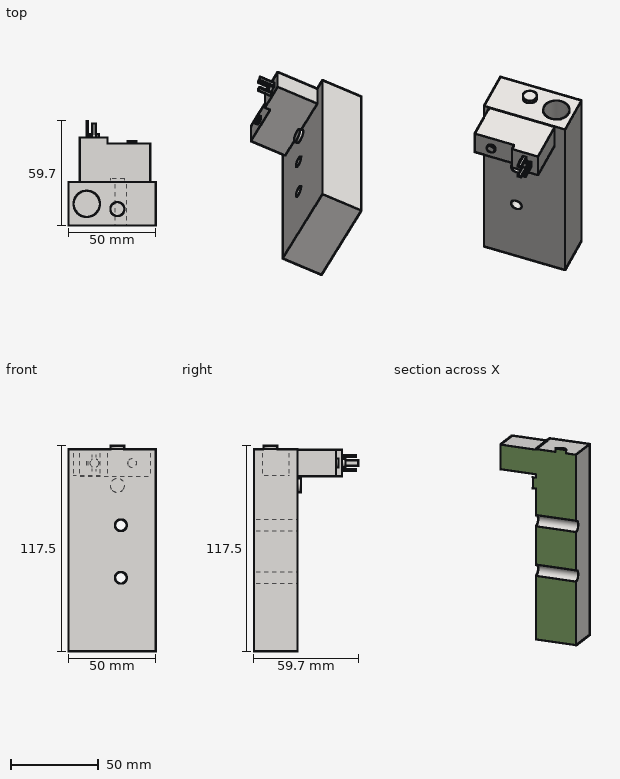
import cadquery as cq

BODY_WIDTH = 50.0
BODY_DEPTH = 25.0
BODY_HEIGHT = 115.5

MOUNT_DIAMETER = 6.5
MOUNT_X = 30.0
MOUNT_UPPER_Z = -43.5
MOUNT_SPACING = 30.0

PORT_DIAMETER = 15.0
PORT_DEPTH = 15.0
PORT_X = 10.5
PORT_Y = BODY_DEPTH / 2

BUTTON_DIAMETER = 8.0
BUTTON_HEIGHT = 2.0
BUTTON_X = 28.0
TOP_BUTTON_Y = 9.5
BACK_BUTTON_Z = -20.8

HEAD_LEFT = 6.4
HEAD_WIDTH = 40.4
HEAD_TALL_WIDTH = 16.1
HEAD_DEPTH = 25.4
HEAD_STEP_DEPTH = 22.0
HEAD_TOP_Z = -0.4
HEAD_HEIGHT = 15.2
HEAD_MID_Z = HEAD_TOP_Z - HEAD_HEIGHT / 2
HEAD_BACK_Y = BODY_DEPTH + HEAD_DEPTH
STEP_BACK_Y = BODY_DEPTH + HEAD_STEP_DEPTH

STUD_DIAMETER = 5.0
CONNECTOR_STUD_X = 14.9
CONNECTOR_STUD_LENGTH = 2.0
STEP_STUD_X = 36.4
STEP_STUD_LENGTH = 1.3

BLADE_THICKNESS = 1.0
EARTH_BLADE_X = 10.8
EARTH_BLADE_WIDTH = 3.3
EARTH_BLADE_LENGTH = 9.3
CONTACT_BLADE_X = 14.65
CONTACT_BLADE_WIDTH = 2.1
CONTACT_BLADE_LENGTH = 8.0
CONTACT_SPACING = 8.0


def rearward_cylinder(x, start_y, z, diameter, length):
    """Round bar along +Y, starting at start_y."""
    plane = cq.Workplane("XZ", origin=(x, start_y, z))
    return plane.circle(diameter / 2).extrude(-length)


def upright_cylinder(x, y, start_z, diameter, length):
    """Round bar along Z, starting at start_z; a negative length runs downward."""
    plane = cq.Workplane("XY", origin=(x, y, start_z))
    return plane.circle(diameter / 2).extrude(length)


def rear_blade(x, z, size_x, size_z, length):
    """Rectangular blade standing on the back of the head."""
    plane = cq.Workplane("XZ", origin=(x, HEAD_BACK_Y, z))
    return plane.rect(size_x, size_z).extrude(-length)


def make_body():
    body = cq.Workplane("XY").box(BODY_WIDTH, BODY_DEPTH, BODY_HEIGHT, centered=False)
    body = body.translate((0, 0, -BODY_HEIGHT))
    body = body.cut(upright_cylinder(PORT_X, PORT_Y, 0, PORT_DIAMETER, -PORT_DEPTH))
    for z in (MOUNT_UPPER_Z, MOUNT_UPPER_Z - MOUNT_SPACING):
        body = body.cut(rearward_cylinder(MOUNT_X, 0, z, MOUNT_DIAMETER, BODY_DEPTH))
    return body


def make_buttons():
    top = upright_cylinder(BUTTON_X, TOP_BUTTON_Y, 0, BUTTON_DIAMETER, BUTTON_HEIGHT)
    back = rearward_cylinder(BUTTON_X, BODY_DEPTH, BACK_BUTTON_Z, BUTTON_DIAMETER, BUTTON_HEIGHT)
    return [top, back]


def make_head():
    head_right = HEAD_LEFT + HEAD_WIDTH
    step_x = HEAD_LEFT + HEAD_TALL_WIDTH
    outline = [
        (HEAD_LEFT, BODY_DEPTH),
        (head_right, BODY_DEPTH),
        (head_right, STEP_BACK_Y),
        (step_x, STEP_BACK_Y),
        (step_x, HEAD_BACK_Y),
        (HEAD_LEFT, HEAD_BACK_Y),
    ]
    plane = cq.Workplane("XY", origin=(0, 0, HEAD_TOP_Z))
    return plane.polyline(outline).close().extrude(-HEAD_HEIGHT)


def make_studs():
    connector = rearward_cylinder(
        CONNECTOR_STUD_X, HEAD_BACK_Y, HEAD_MID_Z, STUD_DIAMETER, CONNECTOR_STUD_LENGTH
    )
    step = rearward_cylinder(STEP_STUD_X, STEP_BACK_Y, HEAD_MID_Z, STUD_DIAMETER, STEP_STUD_LENGTH)
    return [connector, step]


def make_blades():
    blades = [
        rear_blade(EARTH_BLADE_X, HEAD_MID_Z, BLADE_THICKNESS, EARTH_BLADE_WIDTH, EARTH_BLADE_LENGTH)
    ]
    for side in (-1, 1):
        z = HEAD_MID_Z + side * CONTACT_SPACING / 2
        blades.append(
            rear_blade(CONTACT_BLADE_X, z, CONTACT_BLADE_WIDTH, BLADE_THICKNESS, CONTACT_BLADE_LENGTH)
        )
    return blades


result = make_body()
for piece in [make_head()] + make_buttons() + make_studs() + make_blades():
    result = result.union(piece)